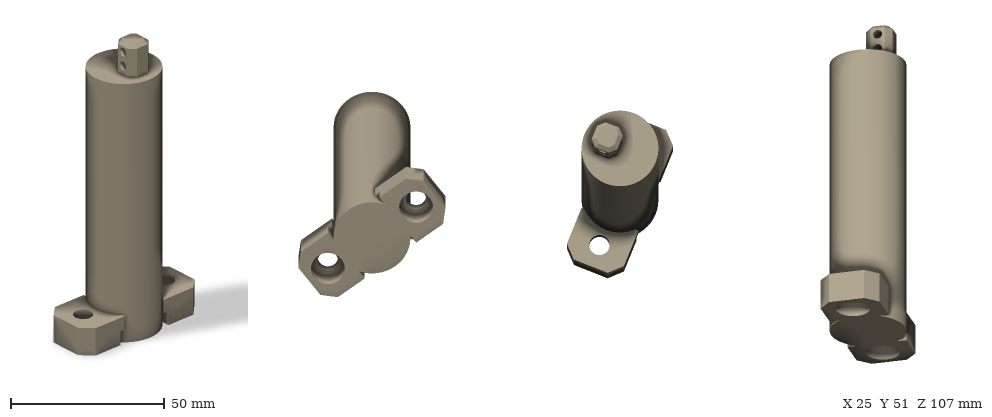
import cadquery as cq

total_height = 107.0
total_depth = 51.0

post_diameter = 25.0
post_height = 95.0

tip_width = 9.0
tip_corner_chamfer = 2.1
tip_top_bevel_height = 1.2
tip_top_bevel_inset = 1.4
tip_offset = tip_width / 2
tip_height = total_height - post_height

cross_hole_diameter = 3.0
cross_hole_spacing = 5.0
upper_hole_below_top = 3.5

foot_width = 20.0
foot_height = 10.1
foot_corner_chamfer = 4.1
foot_hole_diameter = 6.6
foot_hole_offset = 18.0
counterbore_diameter = 11.0
counterbore_depth = 6.5

joint_step_height = 5.0
flat_distance = 10.5
groove_distance = 8.8


def make_tip():
    """Square tip with chamfered corners, a bevelled top and two cross holes."""
    tip = (
        cq.Workplane("XY", origin=(tip_offset, 0, post_height))
        .rect(tip_width, tip_width)
        .extrude(tip_height)
        .edges("|Z")
        .chamfer(tip_corner_chamfer)
        .faces(">Z")
        .chamfer(tip_top_bevel_inset, tip_top_bevel_height)
    )
    upper_hole_z = total_height - upper_hole_below_top
    hole_positions = [(tip_offset, upper_hole_z), (tip_offset, upper_hole_z - cross_hole_spacing)]
    holes = (
        cq.Workplane("XZ")
        .pushPoints(hole_positions)
        .circle(cross_hole_diameter / 2)
        .extrude(tip_width, both=True)
    )
    return tip.cut(holes)


def make_joint_space(side):
    """Stepped space outside the joint faces on one side (+1 or -1 along Y)."""
    outer = total_depth / 2
    profile = [
        (side * flat_distance, 0),
        (side * flat_distance, joint_step_height),
        (side * groove_distance, joint_step_height),
        (side * groove_distance, foot_height),
        (side * outer, foot_height),
        (side * outer, 0),
    ]
    return cq.Workplane("YZ").polyline(profile).close().extrude(post_diameter / 2, both=True)


def make_post():
    """Round post with its tip, flats at the base and grooves for the feet."""
    post = cq.Workplane("XY").circle(post_diameter / 2).extrude(post_height).union(make_tip())
    for side in (-1, 1):
        post = post.cut(make_joint_space(side))
    return post


def make_foot(side):
    """Bolt-down foot with a tongue, chamfered outer corners and a hole counterbored from below."""
    block = (
        cq.Workplane("XY")
        .rect(foot_width, total_depth)
        .extrude(foot_height)
        .edges("|Z")
        .chamfer(foot_corner_chamfer)
    )
    hole = (
        cq.Workplane("XY")
        .center(0, side * foot_hole_offset)
        .circle(foot_hole_diameter / 2)
        .extrude(foot_height)
    )
    counterbore = (
        cq.Workplane("XY")
        .center(0, side * foot_hole_offset)
        .circle(counterbore_diameter / 2)
        .extrude(counterbore_depth)
    )
    return block.intersect(make_joint_space(side)).cut(hole).cut(counterbore)


post = make_post()
feet = [make_foot(side) for side in (-1, 1)]

result = cq.Compound.makeCompound([post.val(), *[foot.val() for foot in feet]])